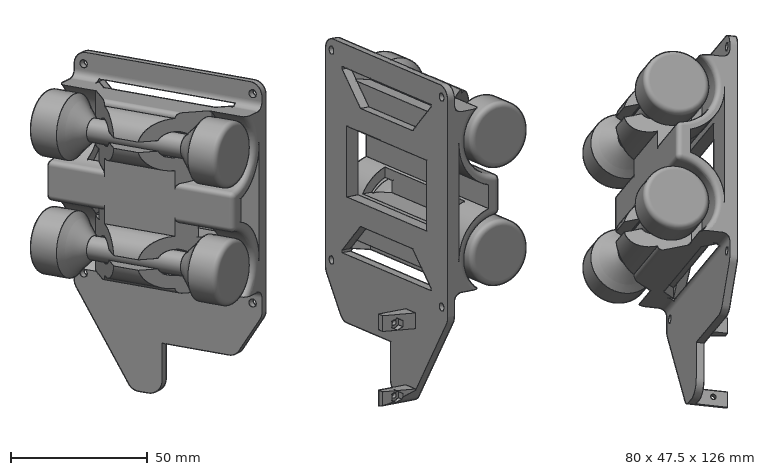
import cadquery as cq
import math

width = 80.0
half_width = width / 2
axis_pitch = 45.0
axis_heights = (axis_pitch / 2, -axis_pitch / 2)
edge_radius = 2.0

wheel_radius = 12.5
shaft_radius = 4.5
wheel_rim_width = 12.0
rim_bevel_width = 2.25
rim_bevel_drop = 2.5
wheel_inner_x = half_width - wheel_rim_width
cone_end_x = wheel_inner_x - (wheel_radius - shaft_radius)

plate_front_y = 20.0
plate_thickness = 3.0
plate_back_y = plate_front_y + plate_thickness
flange_height = 10.0
plate_corner_radius = 5.0
leg_corner_radius = 6.0
leg_length = 37.0
leg_right_x = -2.5
shoulder_drop = 17.0
taper_ratio = 2 / 3
screw_hole_diameter = 3.0
screw_x = 36.0
screw_z = 40.0

block_margin = 12.0
block_half_height = axis_pitch / 2 + block_margin
plate_half_height = block_half_height + flange_height
root_radius = 3.0
cradle_radius = 15.0
cradle_wall = 3.0
cradle_outer_offset = 0.7
cradle_outer_radius = cradle_radius + cradle_wall
web_thickness = 5.0

sleeve_outer_radius = 10.0
sleeve_bore_radius = 5.0
sleeve_slot = 4.0
sleeve_half_length = 15.0
sleeve_end_x = 24.9
sleeve_back_y = 14.0
sleeve_inner_drop = 9.0
sleeve_web_thickness = 6.2

slot_floor_half_width = 23.7
slot_half_width = 29.0
slot_bottom_z = 30.3
slot_top_z = block_half_height + 1.0
window_bottom_z = axis_pitch / 2
deep_pocket_half_width = 26.0

lug_height = 6.0
lug_length = 12.0
lug_right_x = -12.6
lug_root_width = 6.4
lug_tip_width = 2.7
upper_lug_bottom = -52.5
lug_bottoms = (upper_lug_bottom, -plate_half_height - leg_length)
lug_hole_diameter = 2.0
lug_hole_y = 29.6
lug_hole_offsets = (2.3, 3.5)
nut_corner_diameter = 4.6
nut_floor_x = -14.6


def box(x_range, y_range, z_range):
    """Axis-aligned box between the given limits."""
    size = [high - low for low, high in (x_range, y_range, z_range)]
    corner = (x_range[0], y_range[0], z_range[0])
    return cq.Workplane("XY").box(*size, centered=False).translate(corner)


def x_cylinder(radius, height, half_length=half_width):
    """Cylinder along X, centred on x = 0, on the axis y = 0 at the given height."""
    return (
        cq.Workplane("YZ", origin=(-half_length, 0, height))
        .circle(radius)
        .extrude(2 * half_length)
    )


def make_roller(height):
    """Shaft with a coned wheel at each end."""
    bevel_x = wheel_inner_x - rim_bevel_width
    arc_offset = edge_radius * (1 - math.sqrt(0.5))
    rim_arc_x = half_width - arc_offset
    rim_arc_radius = wheel_radius - arc_offset
    rim_x = half_width - edge_radius
    face_radius = wheel_radius - edge_radius
    profile = (
        cq.Workplane("XZ")
        .moveTo(-half_width, 0)
        .lineTo(-half_width, face_radius)
        .threePointArc((-rim_arc_x, rim_arc_radius), (-rim_x, wheel_radius))
        .lineTo(-wheel_inner_x, wheel_radius)
        .lineTo(-bevel_x, wheel_radius - rim_bevel_drop)
        .lineTo(-cone_end_x, shaft_radius)
        .lineTo(cone_end_x, shaft_radius)
        .lineTo(bevel_x, wheel_radius - rim_bevel_drop)
        .lineTo(wheel_inner_x, wheel_radius)
        .lineTo(rim_x, wheel_radius)
        .threePointArc((rim_arc_x, rim_arc_radius), (half_width, face_radius))
        .lineTo(half_width, 0)
        .close()
    )
    roller = profile.revolve(360, (0, 0, 0), (1, 0, 0))
    return roller.translate((0, 0, height))


def plate_prism(back_y):
    """Rounded plate outline with its tapered leg, from the plate front back to back_y."""
    leg_bottom_z = -plate_half_height - leg_length
    shoulder_z = -plate_half_height - shoulder_drop
    rounded_corners = [
        (leg_right_x, leg_bottom_z),
        (-half_width + taper_ratio * leg_length, leg_bottom_z),
        (-half_width, -plate_half_height),
        (-half_width, plate_half_height),
        (half_width, plate_half_height),
        (half_width, -plate_half_height),
        (half_width - taper_ratio * shoulder_drop, shoulder_z),
    ]
    inner_corner = (leg_right_x, shoulder_z)
    prism = (
        cq.Workplane("XZ", origin=(0, plate_front_y, 0))
        .polyline([*rounded_corners, inner_corner])
        .close()
        .extrude(plate_front_y - back_y)
    )
    corner_radii = [leg_corner_radius] + [plate_corner_radius] * (len(rounded_corners) - 1)
    middle_y = (plate_front_y + back_y) / 2
    for (x, z), radius in zip(rounded_corners, corner_radii):
        corner_edge = cq.selectors.NearestToPointSelector((x, middle_y, z))
        prism = prism.edges("|Y").edges(corner_edge).fillet(radius)
    return prism


def make_plate():
    """Back plate with its four screw holes."""
    corners = [(x, z) for x in (-screw_x, screw_x) for z in (-screw_z, screw_z)]
    holes = (
        cq.Workplane("XZ", origin=(0, plate_front_y, 0))
        .pushPoints(corners)
        .circle(screw_hole_diameter / 2)
        .extrude(-plate_thickness)
    )
    return plate_prism(plate_back_y).cut(holes)


def make_block():
    """Housing block in front of the plate, flared into it with concave root fillets."""
    arc_offset = root_radius * math.sqrt(0.5)
    arc_y = plate_front_y - root_radius + arc_offset
    arc_z = block_half_height + root_radius - arc_offset
    root_y = plate_front_y - root_radius
    root_z = block_half_height + root_radius
    return (
        cq.Workplane("YZ", origin=(-half_width, 0, 0))
        .moveTo(0, -block_half_height)
        .lineTo(root_y, -block_half_height)
        .threePointArc((arc_y, -arc_z), (plate_front_y, -root_z))
        .lineTo(plate_front_y, root_z)
        .threePointArc((arc_y, arc_z), (root_y, block_half_height))
        .lineTo(0, block_half_height)
        .close()
        .extrude(width)
    )


def cut_side_window(body):
    """Opening through the full width between the two cradle walls and behind the front web."""
    window = box(
        (-half_width, half_width),
        (web_thickness, cradle_outer_radius),
        (-axis_pitch / 2, axis_pitch / 2),
    )
    for height in axis_heights:
        outer_height = height - math.copysign(cradle_outer_offset, height)
        window = window.cut(x_cylinder(cradle_outer_radius, outer_height))
    return body.cut(window)


def cut_cradles(body):
    """Round cradles for the wheels, with rounded mouths and outer rims."""
    for height in axis_heights:
        body = body.cut(x_cylinder(cradle_radius, height))
    web_half_height = axis_pitch / 2 - cradle_radius
    margin = 0.1
    web_front = cq.selectors.BoxSelector(
        (-half_width - margin, -margin, -web_half_height - margin),
        (half_width + margin, margin, web_half_height + margin),
    )
    rims = body.faces("<X or >X").edges("%CIRCLE").edges(cq.selectors.RadiusNthSelector(1))
    return body.edges(web_front).add(rims).fillet(edge_radius)


def cut_pockets(body):
    """Openings around the sleeves: a slot beyond each one, a plate window and the deep rear pocket."""
    wall_y = sleeve_back_y + slot_half_width - slot_floor_half_width
    slot_outline = [
        (-slot_floor_half_width, sleeve_back_y),
        (slot_floor_half_width, sleeve_back_y),
        (slot_half_width, wall_y),
        (-slot_half_width, wall_y),
    ]
    slot = (
        cq.Workplane("XY", origin=(0, 0, slot_bottom_z))
        .polyline(slot_outline)
        .close()
        .extrude(slot_top_z - slot_bottom_z)
    )
    root_gap = box(
        (-slot_half_width, slot_half_width),
        (plate_front_y - root_radius, plate_back_y),
        (block_half_height, slot_top_z),
    )
    window_bottom_half_width = slot_half_width - (block_half_height - window_bottom_z)
    window_outline = [
        (-slot_half_width, block_half_height),
        (slot_half_width, block_half_height),
        (window_bottom_half_width, window_bottom_z),
        (-window_bottom_half_width, window_bottom_z),
    ]
    window = (
        cq.Workplane("XZ", origin=(0, wall_y, 0))
        .polyline(window_outline)
        .close()
        .extrude(wall_y - plate_back_y)
    )
    for opening in (slot, root_gap, window):
        body = body.cut(opening).cut(opening.mirror("XY"))
    deep_half_height = axis_pitch / 2 - sleeve_inner_drop
    deep_pocket = box(
        (-deep_pocket_half_width, deep_pocket_half_width),
        (sleeve_web_thickness, plate_back_y),
        (-deep_half_height, deep_half_height),
    )
    return body.cut(deep_pocket)


def make_sleeve():
    """Shaft sleeve about the X axis, its backing block on the +Z side and front web on the -Z side."""
    backing = box(
        (-sleeve_end_x, sleeve_end_x),
        (0, sleeve_back_y),
        (-sleeve_inner_drop, block_margin),
    )
    backing = backing.edges("|X and >Z and <Y").fillet(edge_radius)
    sleeve = x_cylinder(sleeve_outer_radius, 0, sleeve_end_x).union(backing)
    for thickness, drop in ((sleeve_web_thickness, cradle_radius), (web_thickness, axis_pitch / 2)):
        web = box((-sleeve_end_x, sleeve_end_x), (0, thickness), (-drop, 0))
        sleeve = sleeve.union(web)
    tip_half_length = sleeve_half_length - sleeve_outer_radius
    shoulder_y = sleeve_end_x - sleeve_half_length
    outline = [
        (-tip_half_length, -sleeve_outer_radius),
        (tip_half_length, -sleeve_outer_radius),
        (sleeve_end_x, shoulder_y),
        (sleeve_end_x, sleeve_back_y),
        (-sleeve_end_x, sleeve_back_y),
        (-sleeve_end_x, shoulder_y),
    ]
    envelope = (
        cq.Workplane("XY", origin=(0, 0, -axis_pitch / 2))
        .polyline(outline)
        .close()
        .extrude(axis_pitch / 2 + block_margin)
    )
    return sleeve.intersect(envelope)


def add_sleeves(body):
    """One sleeve per roller, mirrored about z = 0, each with its bore and front slot."""
    upper = make_sleeve().translate((0, 0, axis_pitch / 2))
    body = body.union(upper).union(upper.mirror("XY"))
    for height in axis_heights:
        slot = box(
            (-sleeve_half_length, sleeve_half_length),
            (-sleeve_outer_radius, 0),
            (height - sleeve_slot / 2, height + sleeve_slot / 2),
        )
        body = body.cut(x_cylinder(sleeve_bore_radius, height)).cut(slot)
    return body


def make_lug(bottom_z, hole_offset):
    """Tapered lug behind the plate, cross-drilled along X with a hexagonal nut recess."""
    tip_y = plate_back_y + lug_length
    outline = [
        (lug_right_x - lug_root_width, plate_back_y),
        (lug_right_x, plate_back_y),
        (lug_right_x, tip_y),
        (lug_right_x - lug_tip_width, tip_y),
    ]
    lug = cq.Workplane("XY", origin=(0, 0, bottom_z)).polyline(outline).close().extrude(lug_height)
    lug = lug.intersect(plate_prism(tip_y))
    hole_z = bottom_z + hole_offset
    hole = (
        cq.Workplane("YZ", origin=(lug_right_x, lug_hole_y, hole_z))
        .circle(lug_hole_diameter / 2)
        .extrude(-lug_root_width)
    )
    nut_recess = (
        cq.Workplane("YZ", origin=(nut_floor_x, lug_hole_y, hole_z))
        .transformed(rotate=(0, 0, 90))
        .polygon(6, nut_corner_diameter)
        .extrude(-lug_root_width)
    )
    return lug.cut(hole).cut(nut_recess)


def make_frame():
    """Plate, roller housing, sleeves and lugs as one solid."""
    body = cut_cradles(cut_side_window(make_block()))
    body = body.union(make_plate())
    body = add_sleeves(cut_pockets(body))
    for bottom_z, hole_offset in zip(lug_bottoms, lug_hole_offsets):
        body = body.union(make_lug(bottom_z, hole_offset))
    return body


frame = make_frame()
rollers = [make_roller(height) for height in axis_heights]

result = cq.Compound.makeCompound([frame.val(), *[roller.val() for roller in rollers]])